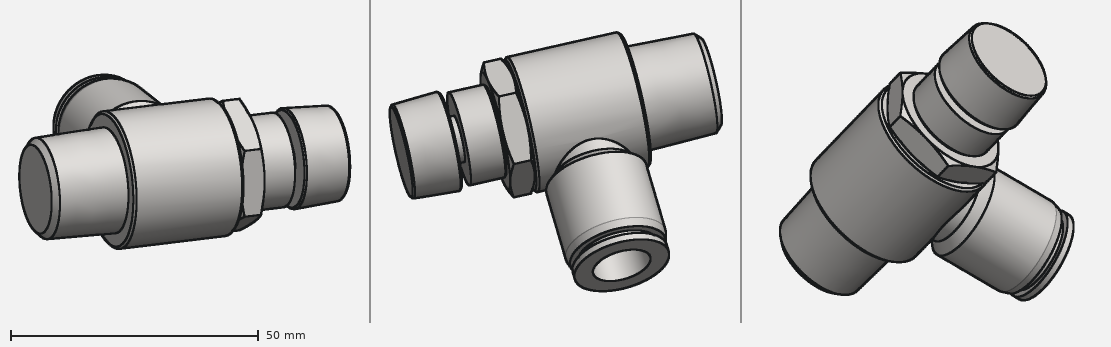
import cadquery as cq
import math

length = 64.5
thread_end = 15.9
body_end = 39.8
hex_end = 44.9
collar_end = 52.45
knob_start = 54.4

thread_tip_dia = 18.05
thread_small_dia = 20.65
thread_large_dia = 21.55
body_dia = 28.0
collar_dia = 19.3
stem_dia = 9.6
knob_large_dia = 20.6
knob_small_dia = 19.5

thread_chamfer = 1.3
body_chamfer = 0.5
collar_chamfer = 0.4
knob_chamfer = 0.4

hex_flats = 24.2
hex_chamfer_angle = 22.0

arm_y = 27.9
arm_tip = 36.4
flange_start = 34.8
barrel_tip = 33.3
barrel_straight_end = 31.55
barrel_straight_start = 15.9
barrel_base = 13.85
flange_dia = 19.8
groove_dia = 16.8
barrel_dia = 21.0
barrel_tip_dia = 20.0
bore_dia = 12.0


def turned_main(profile):
    """Revolve (radius, y) points about the main axis."""
    points = [(0, profile[0][1])] + profile + [(0, profile[-1][1])]
    return cq.Workplane("XY").polyline(points).close().revolve(360, (0, 0), (0, 1))


def turned_arm(profile):
    """Revolve (distance, radius) points about the arm axis."""
    points = [(0, 0)] + [(-distance, radius) for distance, radius in profile] + [(-profile[-1][0], 0)]
    arm_plane = cq.Workplane("XY", origin=(0, arm_y, 0))
    return arm_plane.polyline(points).close().revolve(360, (0, 0), (1, 0))


def main_column():
    thread_r = thread_small_dia / 2
    body_r = body_dia / 2
    collar_r = collar_dia / 2
    stem_r = stem_dia / 2
    knob_r = knob_large_dia / 2
    knob_end_r = knob_small_dia / 2
    return turned_main([
        (thread_tip_dia / 2, 0),
        (thread_r, thread_chamfer),
        (thread_large_dia / 2, thread_end),
        (body_r - body_chamfer, thread_end),
        (body_r, thread_end + body_chamfer),
        (body_r, body_end - body_chamfer),
        (body_r - body_chamfer, body_end),
        (collar_r - collar_chamfer, body_end),
        (collar_r - collar_chamfer, hex_end),
        (collar_r, hex_end + collar_chamfer),
        (collar_r, collar_end),
        (stem_r, collar_end),
        (stem_r, knob_start),
        (knob_r - knob_chamfer, knob_start),
        (knob_r, knob_start + knob_chamfer),
        (knob_end_r, length - knob_chamfer),
        (knob_end_r - knob_chamfer, length),
    ])


def hexagon():
    corner_r = hex_flats / math.sqrt(3)
    face_r = hex_flats / 2
    chamfer_height = (corner_r - face_r) * math.tan(math.radians(hex_chamfer_angle))
    corners = [
        (corner_r * math.sin(math.radians(60 * i)), corner_r * math.cos(math.radians(60 * i)))
        for i in range(6)
    ]
    prism = cq.Workplane("XZ", origin=(0, hex_end, 0)).polyline(corners).close().extrude(hex_end - body_end)
    envelope = turned_main([
        (face_r, body_end),
        (corner_r, body_end + chamfer_height),
        (corner_r, hex_end - chamfer_height),
        (face_r, hex_end),
    ])
    return prism.intersect(envelope)


def side_arm():
    flange_r = flange_dia / 2
    groove_r = groove_dia / 2
    barrel_r = barrel_dia / 2
    return turned_arm([
        (0, groove_r),
        (barrel_base, groove_r),
        (barrel_straight_start, barrel_r),
        (barrel_straight_end, barrel_r),
        (barrel_tip, barrel_tip_dia / 2),
        (barrel_tip, groove_r),
        (flange_start, groove_r),
        (flange_start, flange_r),
        (arm_tip, flange_r),
    ])


def arm_bore():
    return turned_arm([(0, bore_dia / 2), (arm_tip, bore_dia / 2)])


bored_arm = side_arm().cut(arm_bore())
result = main_column().union(hexagon()).union(bored_arm)